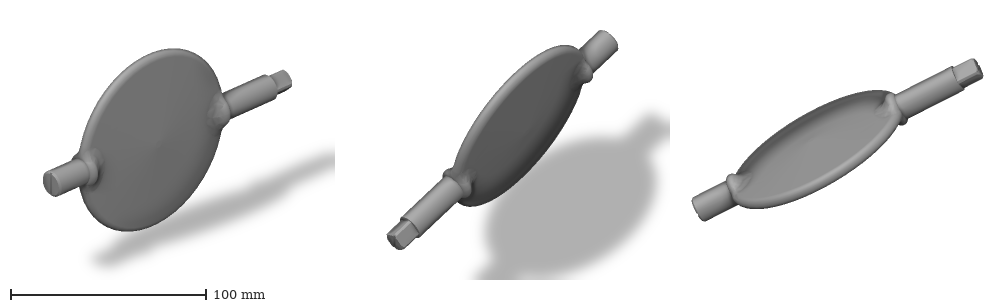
import cadquery as cq
import math

disc_radius = 50.0
rim_round_radius = 3.2
hub_half_thickness = 6.1
centre_flat_radius = 2.0

shaft_diameter = 14.0
drive_end_y = 94.5
slot_end_y = -70.0
end_chamfer = 1.0

square_length = 12.0
square_across_corners = 12.3
square_width = 9.7

slot_width = 1.5
slot_depth = 0.5

collar_diameter = 18.0
collar_round_radius = 3.0
collar_face_y = 49.5
journal_start_y = collar_face_y - collar_round_radius
collar_blend_radius = 10.0
edge_tolerance = 0.1


def along_y(start, end, diameter):
    """Cylinder on the Y axis between two Y positions."""
    return cq.Workplane("XZ", origin=(0, start, 0)).circle(diameter / 2).extrude(start - end)


def make_disc():
    """Revolve half of the disc section about X."""
    rim_centre = disc_radius - rim_round_radius
    rise = hub_half_thickness
    run = rim_centre - centre_flat_radius
    slope = math.atan2(rise, run) - math.asin(rim_round_radius / math.hypot(rise, run))
    tangent_x = rim_round_radius * math.cos(slope)
    tangent_r = rim_centre + rim_round_radius * math.sin(slope)
    section = (
        cq.Workplane("XY")
        .moveTo(-hub_half_thickness, 0)
        .lineTo(-hub_half_thickness, centre_flat_radius)
        .lineTo(-tangent_x, tangent_r)
        .threePointArc((0, disc_radius), (tangent_x, tangent_r))
        .lineTo(hub_half_thickness, centre_flat_radius)
        .lineTo(hub_half_thickness, 0)
        .close()
    )
    return section.revolve(360, (0, 0, 0), (1, 0, 0))


def make_collar(side):
    """Ring with a full-round edge; side is +1 or -1 along Y."""
    outer = side * collar_face_y
    inner = side * (collar_face_y - 2 * collar_round_radius)
    ring_radius = collar_diameter / 2 - collar_round_radius
    middle = side * (collar_face_y - collar_round_radius)
    section = (
        cq.Workplane("XY")
        .moveTo(0, inner)
        .lineTo(ring_radius, inner)
        .threePointArc((collar_diameter / 2, middle), (ring_radius, outer))
        .lineTo(0, outer)
        .close()
    )
    return section.revolve(360, (0, 0, 0), (0, 1, 0))


def blend_collars(body):
    """Fillet the concave edges where each collar rises out of the disc."""
    ring_start = collar_face_y - 2 * collar_round_radius - edge_tolerance
    blended = [
        edge
        for edge in body.edges().vals()
        if edge.geomType() in ("BSPLINE", "HYPERBOLA") and abs(edge.Center().y) > ring_start
    ]
    return body.newObject(blended).fillet(collar_blend_radius)


def make_slot_end():
    """Plain round journal on the -Y side, chamfered at its end."""
    journal = along_y(slot_end_y, -journal_start_y, shaft_diameter)
    return journal.faces("<Y").chamfer(end_chamfer)


def make_drive_end():
    """Round journal on the +Y side that ends in a square with corners turned to a cylinder."""
    square_start = drive_end_y - square_length
    journal = along_y(journal_start_y, square_start, shaft_diameter)
    square = (
        cq.Workplane("XZ", origin=(0, square_start, 0))
        .transformed(rotate=(0, 0, 45))
        .rect(square_width, square_width)
        .extrude(-square_length)
    )
    corner_limit = along_y(square_start, drive_end_y, square_across_corners)
    return journal.union(square.intersect(corner_limit.faces(">Y").chamfer(end_chamfer)))


def end_slot(end_y):
    """Cutter for a shallow slot along Z across a shaft end."""
    return cq.Workplane("XY").box(slot_width, 2 * slot_depth, shaft_diameter).translate((0, end_y, 0))


body = make_disc()
for side in (1, -1):
    body = body.union(make_collar(side))
body = blend_collars(body)
body = body.union(make_slot_end()).union(make_drive_end())
for end_y in (slot_end_y, drive_end_y):
    body = body.cut(end_slot(end_y))

result = body